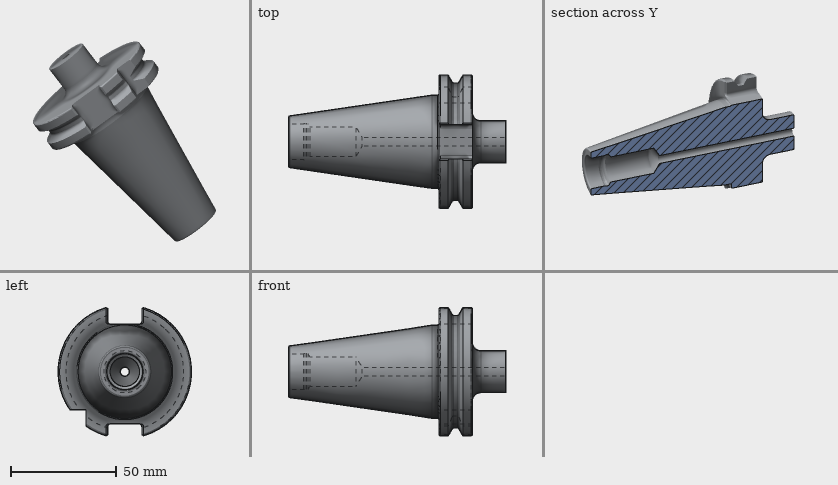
import cadquery as cq
import math


gauge_radius = 44.45 / 2
taper_length = 68.25
taper_ratio = 7 / 24
small_end_radius = gauge_radius - taper_ratio / 2 * taper_length
small_end_rounding = 0.75

flange_radius = 63.55 / 2
flange_start = 3.2
flange_width = 15.9
flange_end = flange_start + flange_width
rim_rounding = 0.75
collar_rounding = 0.6

groove_center = 11.1
groove_bottom_radius = 28.0
groove_top_width = 7.1
groove_wall_angle = 60
groove_rounding = 0.8

nose_radius = 10.0
nose_length = 35.0
nose_rounding = 4.0

counterbore_radius = 8.5
counterbore_depth = 9.2
counterbore_rounding = 0.75
relief_depth = 0.3
relief_width = 2.1
relief_slope_length = 0.7
thread_hole_radius = 7.0
thread_hole_depth = 32.0
coolant_radius = 2.1
step_half_angle = 60
drill_half_angle = 59

slot_half_width = 8.1
slot_mouth_half_width = 9.0
upper_slot_floor = 22.6
lower_slot_floor = 24.8
slot_floor_rounding = 1.5
slot_face_chamfer = 0.8
slot_rim_chamfer = 0.5

notch_y = 18.5
notch_z = -18.2

clearance = 5.0
match_tolerance = 0.01


def revolve_about_axis(outline):
    """Close an XY outline and turn it about the X axis."""
    return outline.close().revolve(360, (0, 0, 0), (1, 0, 0))


def round_circle(solid, x, radius, rounding):
    """Fillet the circular edge of the given radius centred on the axis at x."""
    def matches(edge):
        radius_error = abs(edge.radius() - radius)
        place_error = abs(edge.arcCenter().x - x)
        return max(radius_error, place_error) < match_tolerance

    return solid.edges("%CIRCLE").filter(matches).fillet(rounding)


def turned_body():
    """Taper, collar, flange and nose without the V groove."""
    body = revolve_about_axis(
        cq.Workplane("XY")
        .moveTo(-taper_length, 0)
        .lineTo(-taper_length, small_end_radius)
        .lineTo(0, gauge_radius)
        .lineTo(flange_start, gauge_radius)
        .lineTo(flange_start, flange_radius)
        .lineTo(flange_end, flange_radius)
        .lineTo(flange_end, nose_radius)
        .lineTo(nose_length, nose_radius)
        .lineTo(nose_length, 0)
    )

    body = round_circle(body, -taper_length, small_end_radius, small_end_rounding)
    body = round_circle(body, flange_start, gauge_radius, collar_rounding)
    body = round_circle(body, flange_start, flange_radius, rim_rounding)
    body = round_circle(body, flange_end, flange_radius, rim_rounding)
    return round_circle(body, flange_end, nose_radius, nose_rounding)


def groove_cutter():
    """Ring with sloping walls and rounded bottom corners."""
    depth = flange_radius - groove_bottom_radius
    slope = 1 / math.tan(math.radians(groove_wall_angle))
    half_top = groove_top_width / 2 + clearance * slope
    half_bottom = groove_top_width / 2 - depth * slope
    ring = (
        cq.Workplane("XY")
        .moveTo(groove_center - half_bottom, groove_bottom_radius)
        .lineTo(groove_center + half_bottom, groove_bottom_radius)
        .lineTo(groove_center + half_top, flange_radius + clearance)
        .lineTo(groove_center - half_top, flange_radius + clearance)
    )
    ring = revolve_about_axis(ring)
    for bottom_x in (groove_center - half_bottom, groove_center + half_bottom):
        ring = round_circle(ring, bottom_x, groove_bottom_radius, groove_rounding)
    return ring


def bore_cutter():
    """Stepped bore, with a rounded mouth, running through the whole part."""
    mouth = -taper_length
    step_start = mouth + counterbore_depth
    step_height = counterbore_radius - thread_hole_radius
    step_length = step_height / math.tan(math.radians(step_half_angle))
    relief_start = step_start - relief_width
    relief_radius = counterbore_radius + relief_depth
    drill_start = mouth + thread_hole_depth
    drill_height = thread_hole_radius - coolant_radius
    drill_length = drill_height / math.tan(math.radians(drill_half_angle))
    mouth_radius = counterbore_radius + counterbore_rounding
    return revolve_about_axis(
        cq.Workplane("XY")
        .moveTo(mouth - clearance, 0)
        .lineTo(mouth - clearance, mouth_radius)
        .lineTo(mouth, mouth_radius)
        .radiusArc((mouth + counterbore_rounding, counterbore_radius), -counterbore_rounding)
        .lineTo(relief_start, counterbore_radius)
        .lineTo(relief_start + relief_slope_length, relief_radius)
        .lineTo(step_start - relief_slope_length, relief_radius)
        .lineTo(step_start, counterbore_radius)
        .lineTo(step_start + step_length, thread_hole_radius)
        .lineTo(drill_start, thread_hole_radius)
        .lineTo(drill_start + drill_length, coolant_radius)
        .lineTo(nose_length + clearance, coolant_radius)
        .lineTo(nose_length + clearance, 0)
    )


def slot_cutter(floor):
    """Drive slot at +Z: rounded floor corners, chamfered rim and shank-side edges."""
    top = flange_radius + clearance
    flange_face = cq.Workplane("YZ", origin=(flange_start, 0, 0))

    def slot_outline(plane, half_width):
        corner_z = floor + slot_floor_rounding
        floor_half_width = half_width - slot_floor_rounding
        return (
            plane
            .moveTo(-floor_half_width, floor)
            .lineTo(floor_half_width, floor)
            .radiusArc((half_width, corner_z), -slot_floor_rounding)
            .lineTo(half_width, top)
            .lineTo(-half_width, top)
            .lineTo(-half_width, corner_z)
            .radiusArc((-floor_half_width, floor), -slot_floor_rounding)
            .close()
        )

    channel = slot_outline(flange_face, slot_half_width).extrude(flange_width)

    rim_z = math.sqrt(flange_radius**2 - slot_mouth_half_width**2)
    wall_z = rim_z - slot_rim_chamfer
    rim_chamfers = (
        flange_face
        .moveTo(-slot_half_width, wall_z)
        .lineTo(slot_half_width, wall_z)
        .lineTo(slot_mouth_half_width, rim_z)
        .lineTo(slot_mouth_half_width, top)
        .lineTo(-slot_mouth_half_width, top)
        .lineTo(-slot_mouth_half_width, rim_z)
        .close()
        .extrude(flange_width)
    )

    face_chamfers = slot_outline(flange_face, slot_mouth_half_width)
    face_chamfers = slot_outline(face_chamfers.workplane(offset=slot_face_chamfer), slot_half_width)
    return channel.union(rim_chamfers).union(face_chamfers.loft(ruled=True))


def notch_cutter():
    """Square-cornered notch, open to +Y and -Z, through the flange."""
    size = flange_radius
    block = cq.Workplane("XY").box(flange_width, size, size, centered=False)
    return block.translate((flange_start, notch_y, notch_z - size))


result = (
    turned_body()
    .cut(groove_cutter())
    .cut(bore_cutter())
    .cut(slot_cutter(upper_slot_floor))
    .cut(slot_cutter(lower_slot_floor).rotate((0, 0, 0), (1, 0, 0), 180))
    .cut(notch_cutter())
)